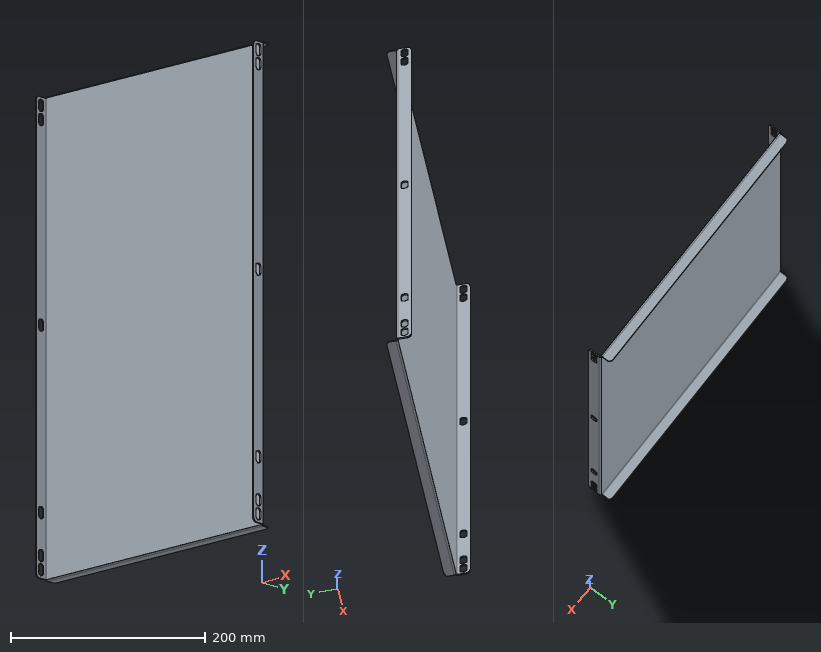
import cadquery as cq

width = 306.0
depth = 27.0
height = 520.0

thickness = 1.5
inner_bend_radius = 0.5
outer_bend_radius = inner_bend_radius + thickness

side_flange_depth = 16.0
end_flange_depth = depth - side_flange_depth + thickness
flange_setback = 1.5
flange_corner_radius = 5.0

web_front = -thickness
side_flange_front = -side_flange_depth
end_flange_rear = web_front + end_flange_depth

slot_width = 7.5
slot_length = 13.0
slot_y = -9.0
end_slot_z = 249.0
end_slot_pitch = 15.0
middle_slot_z = 13.5
lower_slot_z = -187.5
slot_heights = [middle_slot_z, lower_slot_z]
for end in (1, -1):
    slot_heights += [end * end_slot_z, end * (end_slot_z - end_slot_pitch)]


def box_between(x_range, y_range, z_range):
    """Box spanning the given (low, high) range along each axis."""
    sizes = [high - low for low, high in (x_range, y_range, z_range)]
    corner = (x_range[0], y_range[0], z_range[0])
    return cq.Workplane("XY").box(*sizes, centered=False).translate(corner)


def make_side_channel():
    """Web with both side flanges, rounded at their bends and free corners."""
    half_width = width / 2
    half_height = height / 2 - flange_setback
    z_range = (-half_height, half_height)
    outer = box_between((-half_width, half_width), (side_flange_front, 0), z_range)
    outer = outer.edges("|Z and >Y").fillet(outer_bend_radius)
    inner_half = half_width - thickness
    cavity = box_between((-inner_half, inner_half), (side_flange_front - depth, web_front), z_range)
    cavity = cavity.edges("|Z and >Y").fillet(inner_bend_radius)
    return outer.cut(cavity).edges("|X and <Y").fillet(flange_corner_radius)


def make_end_channel():
    """Web with the top and bottom flanges, rounded at their bends and free corners."""
    half_width = width / 2 - flange_setback
    half_height = height / 2
    x_range = (-half_width, half_width)
    outer = box_between(x_range, (web_front, end_flange_rear), (-half_height, half_height))
    outer = outer.edges("|X and <Y").fillet(outer_bend_radius)
    inner_half = half_height - thickness
    cavity = box_between(x_range, (0, end_flange_rear + depth), (-inner_half, inner_half))
    cavity = cavity.edges("|X and <Y").fillet(inner_bend_radius)
    return outer.cut(cavity).edges("|Z and >Y").fillet(flange_corner_radius)


def make_slots():
    """Cutters that pass through both side flanges."""
    return (
        cq.Workplane("YZ")
        .pushPoints([(slot_y, z) for z in slot_heights])
        .slot2D(slot_length, slot_width, 90)
        .extrude(width, both=True)
    )


def make_corner_reliefs():
    """Cutters clearing the web corners where the side and end bends would meet."""
    reliefs = cq.Workplane("XY")
    for x_side in (-1, 1):
        for z_side in (-1, 1):
            notch = cq.Workplane("XY").box(2 * outer_bend_radius, 2 * depth, 2 * flange_setback)
            reliefs = reliefs.add(notch.translate((x_side * width / 2, 0, z_side * height / 2)))
    return reliefs.combine()


panel = make_side_channel().union(make_end_channel())
result = panel.cut(make_corner_reliefs()).cut(make_slots())